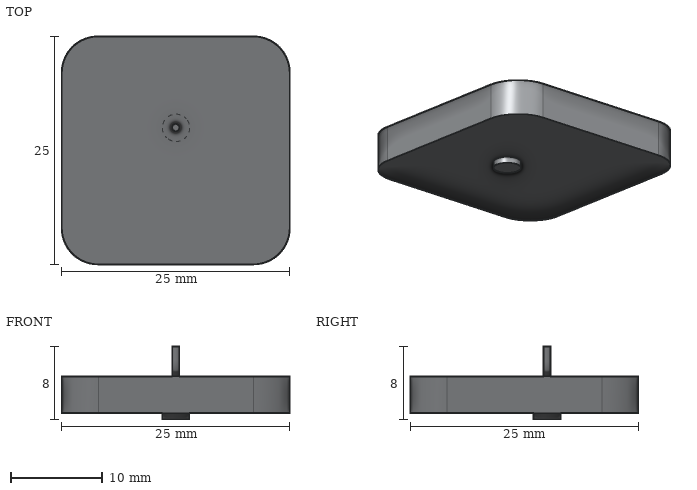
import cadquery as cq

plate_side = 25.0
plate_thickness = 4.0
corner_radius = 4.0

pin_offset_y = 2.5
shaft_diameter = 0.8
shaft_height = 3.3
head_diameter = 3.0
head_height = 0.7


def make_plate():
    """Rounded square plate with its underside on Z = 0."""
    plate = cq.Workplane("XY").rect(plate_side, plate_side).extrude(plate_thickness)
    return plate.edges("|Z").fillet(corner_radius)


def make_pin_cylinder(diameter, base_z, height):
    """Upright cylinder on the pin axis."""
    base = cq.Workplane("XY", origin=(0, pin_offset_y, base_z))
    return base.circle(diameter / 2).extrude(height)


shaft = make_pin_cylinder(shaft_diameter, plate_thickness, shaft_height)
head = make_pin_cylinder(head_diameter, -head_height, head_height)

result = make_plate().union(shaft).union(head)